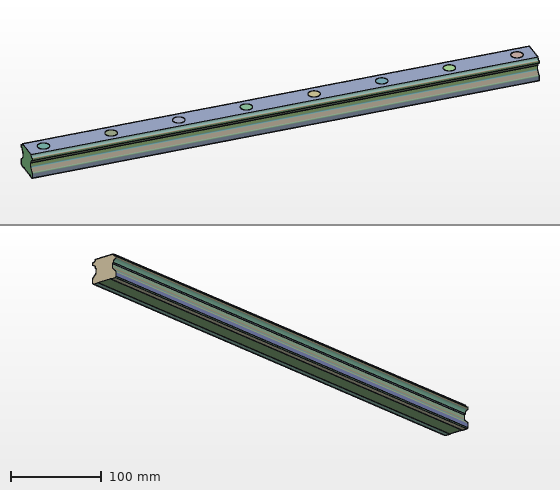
import cadquery as cq

length = 600.0
width = 34.0
height = 29.0

half_width = width / 2
half_height = height / 2
top_half_width = 13.0

lip_top = 11.5
lip_bottom = 8.5
upper_race_height = 2.5
upper_race_radius = 3.0
lower_race_height = 3.5
lower_race_radius = 4.0
lip_fillet = 0.5

waist_half_width = 12.0
waist_top = 3.0
waist_bottom = -2.5
neck_step = top_half_width - waist_half_width
base_top = waist_bottom - (half_width - waist_half_width)
flank_fillet = 2.5
base_chamfer = 1.0

relief_width = 18.0
relief_depth = 0.3

recess_count = 8
recess_end_margin = 20.0
recess_pitch = (length - 2 * recess_end_margin) / (recess_count - 1)
recess_diameter = 14.0
recess_depth = 0.3


def half_rail():
    """Extrude the +X half of the rail section along Y."""
    return (
        cq.Workplane("XZ")
        .moveTo(0, half_height)
        .lineTo(top_half_width, half_height)
        .lineTo(top_half_width, lip_top + upper_race_height)
        .radiusArc((half_width, lip_top), -upper_race_radius)
        .lineTo(half_width, lip_bottom)
        .radiusArc((top_half_width, lip_bottom - lower_race_height), -lower_race_radius)
        .lineTo(top_half_width, waist_top + neck_step)
        .lineTo(waist_half_width, waist_top)
        .lineTo(waist_half_width, waist_bottom)
        .lineTo(half_width, base_top)
        .lineTo(half_width, base_chamfer - half_height)
        .lineTo(half_width - base_chamfer, -half_height)
        .lineTo(0, -half_height)
        .close()
        .extrude(length / 2, both=True)
    )


def rail_body():
    """Round the lip and the sloping flank, then mirror the half across the YZ plane."""
    rounded_corners = (
        (half_width, lip_top, lip_fillet),
        (half_width, lip_bottom, lip_fillet),
        (waist_half_width, waist_bottom, flank_fillet),
        (half_width, base_top, flank_fillet),
    )
    half = half_rail()
    for x, z, radius in rounded_corners:
        corner_edge = cq.selectors.NearestToPointSelector((x, 0, z))
        half = half.edges("|Y").edges(corner_edge).fillet(radius)
    return half.union(half.mirror("YZ")).clean()


def underside_relief():
    """Shallow channel along the full length of the underside."""
    return (
        cq.Workplane("XY", origin=(0, 0, -half_height))
        .rect(relief_width, length)
        .extrude(relief_depth)
    )


def top_recesses():
    """Row of shallow round recesses in the top face."""
    return (
        cq.Workplane("XY", origin=(0, 0, half_height - recess_depth))
        .rarray(6, recess_pitch, 1, recess_count)
        .circle(recess_diameter / 2)
        .extrude(recess_depth)
    )


result = rail_body().cut(underside_relief()).cut(top_recesses())